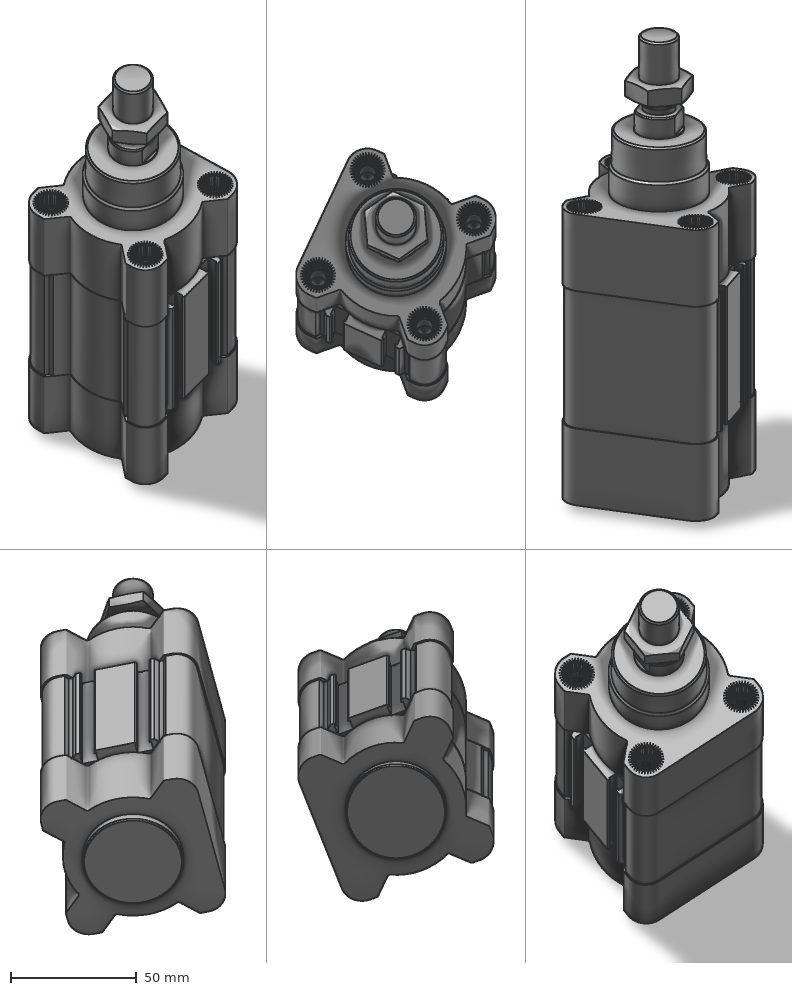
import cadquery as cq
import math

foot_height = 4.0
cap_length = 33.2
barrel_length = 59.5
rear_cap_z = foot_height
barrel_z = rear_cap_z + cap_length
front_cap_z = barrel_z + barrel_length
front_cap_top = front_cap_z + cap_length
total_height = 197.8

cap_half = 32.0
cap_body_radius = 27.9
barrel_half = 31.5
barrel_body_radius = 27.7
column_fillet = 1.0
corner_axis = 23.3
cap_web_offset = 12.0
barrel_web_offset = 12.3
web_fillet = 1.0

groove_depth = 1.8
groove_outer = 20.5
groove_floor_start = 19.4
groove_floor_end = 17.6
pad_edge = 16.0

slot_center = 11.3
slot_mouth = 5.1
slot_width = 6.5
slot_floor = 26.5
lip_depth = 1.2
lip_chamfer = 0.5

collar_diameter = 40.0
foot_chamfer = 0.5
collar_top = 141.5
nose_base_diameter = 38.0
nose_top_diameter = 37.5
nose_base_z = 142.5
nose_top = 157.0
nose_chamfer = 0.8

tooth_count = 36
tooth_tip_diameter = 13.8
tooth_root_diameter = 8.7
socket_depth = 8.0
thread_chamfer_diameter = 8.0
thread_diameter = 6.7
thread_depth = 15.8
drill_point_angle = 118.0

rod_diameter = 20.0
rod_flats = 17.0
flats_z = 157.6
shoulder_z = 166.0
shoulder_chamfer = 0.5
neck_diameter = 13.3
neck_top = 168.1
thread_start = 171.3
stud_diameter = 16.0
stud_tip_diameter = 14.5

nut_flats = 24.0
nut_height = 7.5
nut_z = 172.0
nut_chamfer_angle = 15.0


def nearest_edge(x, y, z):
    return cq.selectors.NearestToPointSelector((x, y, z))


def corner_column(half, web_offset, sign_x, sign_y, z, height):
    """One screw column: rounded outer corner, 45 degree flanks running inward."""
    edge = half - web_offset
    radius = half - corner_axis
    arc = radius * math.sqrt(0.5)
    column = (
        cq.Workplane("XY", origin=(0, 0, z))
        .moveTo(web_offset, 0)
        .lineTo(half, edge)
        .lineTo(half, corner_axis)
        .threePointArc((corner_axis + arc, corner_axis + arc), (corner_axis, half))
        .lineTo(edge, half)
        .lineTo(0, web_offset)
        .close()
        .extrude(height)
    )
    for x, y in ((half, edge), (edge, half)):
        column = column.edges(nearest_edge(x, y, z + height / 2)).fillet(column_fillet)
    if sign_x < 0:
        column = column.mirror("YZ")
    if sign_y < 0:
        column = column.mirror("XZ")
    return column


def block(x_size, y_size, x, y, z, height):
    return cq.Workplane("XY", origin=(x, y, z)).rect(x_size, y_size).extrude(height)


def section_body(half, body_radius, web_offset, z, height):
    """Round centre with four screw columns and a flat +Y side."""
    body = cq.Workplane("XY", origin=(0, 0, z)).circle(body_radius).extrude(height)
    for sign_x in (-1, 1):
        for sign_y in (-1, 1):
            body = body.union(corner_column(half, web_offset, sign_x, sign_y, z, height))
    far = (web_offset + math.sqrt(2 * body_radius**2 - web_offset**2)) / 2
    near = far - web_offset
    corners = [(sx * far, sy * near) for sx in (-1, 1) for sy in (-1, 1)]
    corners += [(sx * near, -far) for sx in (-1, 1)]
    for x, y in corners:
        body = body.edges(nearest_edge(x, y, z + height / 2)).fillet(web_fillet)
    flat_side = block(2 * corner_axis, half, 0, half / 2, z, height)
    return body.union(flat_side)


def make_cap(z):
    return section_body(cap_half, cap_body_radius, cap_web_offset, z, cap_length)


def barrel_side_pad(side):
    """Flat pad on one X side, with a sloping flank at each end."""
    floor_x = barrel_half - groove_depth
    return (
        cq.Workplane("XY", origin=(0, 0, barrel_z))
        .polyline([
            (0, -pad_edge),
            (side * floor_x, -groove_floor_end),
            (side * barrel_half, -pad_edge),
            (side * barrel_half, pad_edge),
            (side * floor_x, groove_floor_end),
            (0, pad_edge),
        ])
        .close()
        .extrude(barrel_length)
    )


def edge_groove_outline(sign_y, in_y_face):
    """Outline of a groove beside a +X screw column, in its face normal to X or to Y."""
    floor = barrel_half - groove_depth
    outline = [
        (floor, pad_edge),
        (floor, groove_floor_start),
        (barrel_half, groove_outer),
        (cap_half, groove_outer),
        (cap_half, pad_edge),
    ]
    if in_y_face:
        outline = [(y, x) for x, y in outline]
    return [(x, sign_y * y) for x, y in outline]


def cut_edge_grooves(barrel):
    outlines = [
        edge_groove_outline(-1, False),
        edge_groove_outline(1, False),
        edge_groove_outline(-1, True),
    ]
    for outline in outlines:
        for side in (-1, 1):
            groove = (
                cq.Workplane("XY", origin=(0, 0, barrel_z))
                .polyline([(side * x, y) for x, y in outline])
                .close()
                .extrude(barrel_length)
            )
            barrel = barrel.cut(groove)
    return barrel


def sensor_slot(side, center_y):
    """T-shaped slot with a chamfered mouth."""
    mouth = slot_mouth / 2
    inside = slot_width / 2
    half_outline = [
        (slot_floor, inside),
        (barrel_half - lip_depth, inside),
        (barrel_half - lip_depth, mouth),
        (barrel_half - lip_chamfer, mouth),
        (barrel_half, mouth + lip_chamfer),
    ]
    outline = half_outline + [(x, -y) for x, y in reversed(half_outline)]
    return (
        cq.Workplane("XY", origin=(0, 0, barrel_z))
        .polyline([(side * x, center_y + y) for x, y in outline])
        .close()
        .extrude(barrel_length)
    )


def make_barrel():
    barrel = section_body(barrel_half, barrel_body_radius, barrel_web_offset, barrel_z, barrel_length)
    barrel = cut_edge_grooves(barrel)
    for side in (-1, 1):
        barrel = barrel.union(barrel_side_pad(side))
        for center_y in (-slot_center, slot_center):
            barrel = barrel.cut(sensor_slot(side, center_y))
    return barrel


def make_foot():
    foot = cq.Workplane("XY").circle(collar_diameter / 2).extrude(foot_height)
    return foot.faces("<Z").edges().chamfer(foot_chamfer)


def make_nose():
    """Front collar with a bearing nose on it."""
    collar_radius = collar_diameter / 2
    base_radius = nose_base_diameter / 2
    top_radius = nose_top_diameter / 2
    return (
        cq.Workplane("XZ")
        .moveTo(0, front_cap_top)
        .lineTo(collar_radius, front_cap_top)
        .lineTo(collar_radius, collar_top)
        .lineTo(base_radius, nose_base_z)
        .lineTo(top_radius, nose_top - nose_chamfer)
        .lineTo(top_radius - nose_chamfer, nose_top)
        .lineTo(0, nose_top)
        .close()
        .revolve(360, (0, 0, 0), (0, 1, 0))
    )


def screw_socket(x, y):
    """Serrated socket with a chamfered, drilled thread hole in its floor."""
    star = []
    for i in range(2 * tooth_count):
        diameter = tooth_root_diameter if i % 2 else tooth_tip_diameter
        angle = math.pi * i / tooth_count
        star.append((x + diameter / 2 * math.cos(angle), y + diameter / 2 * math.sin(angle)))
    floor_z = front_cap_top - socket_depth
    socket = cq.Workplane("XY", origin=(0, 0, floor_z)).polyline(star).close().extrude(socket_depth)

    thread_radius = thread_diameter / 2
    chamfer_radius = thread_chamfer_diameter / 2
    point_length = thread_radius / math.tan(math.radians(drill_point_angle / 2))
    drill = (
        cq.Workplane("XZ", origin=(x, y, floor_z))
        .polyline([
            (0, 0),
            (chamfer_radius, 0),
            (thread_radius, thread_radius - chamfer_radius),
            (thread_radius, -thread_depth),
            (0, -thread_depth - point_length),
        ])
        .close()
        .revolve(360, (0, 0, 0), (0, 1, 0))
    )
    return socket.union(drill)


def make_housing():
    housing = make_foot().union(make_cap(rear_cap_z)).union(make_barrel())
    housing = housing.union(make_cap(front_cap_z)).union(make_nose())
    for x in (-corner_axis, corner_axis):
        for y in (-corner_axis, corner_axis):
            housing = housing.cut(screw_socket(x, y))
    rod_bore = cq.Workplane("XY", origin=(0, 0, front_cap_z)).circle(rod_diameter / 2).extrude(total_height)
    return housing.cut(rod_bore)


def make_rod():
    rod_radius = rod_diameter / 2
    stud_radius = stud_diameter / 2
    tip_radius = stud_tip_diameter / 2
    rod = (
        cq.Workplane("XZ")
        .polyline([
            (0, front_cap_z),
            (rod_radius, front_cap_z),
            (rod_radius, shoulder_z - shoulder_chamfer),
            (rod_radius - shoulder_chamfer, shoulder_z),
            (neck_diameter / 2, shoulder_z),
            (neck_diameter / 2, neck_top),
            (stud_radius, thread_start),
            (stud_radius, total_height - (stud_radius - tip_radius)),
            (tip_radius, total_height),
            (0, total_height),
        ])
        .close()
        .revolve(360, (0, 0, 0), (0, 1, 0))
    )
    flat_depth = (rod_diameter - rod_flats) / 2
    for side in (-1, 1):
        flat_x = side * (rod_flats + flat_depth) / 2
        rod = rod.cut(block(flat_depth, rod_diameter, flat_x, 0, flats_z, shoulder_z - flats_z))
    return rod


def make_nut():
    """Hexagon nut with flats facing X and both ends chamfered."""
    corner_diameter = nut_flats / math.cos(math.pi / 6)
    chamfer_run = (corner_diameter - nut_flats) / 2
    chamfer_rise = chamfer_run * math.tan(math.radians(nut_chamfer_angle))
    hexagon = (
        cq.Workplane("XY", origin=(0, 0, nut_z))
        .transformed(rotate=(0, 0, 90))
        .polygon(6, corner_diameter)
        .extrude(nut_height)
    )
    envelope = cq.Workplane("XY", origin=(0, 0, nut_z)).circle(corner_diameter / 2).extrude(nut_height)
    envelope = envelope.faces("<Z or >Z").edges().chamfer(chamfer_rise, chamfer_run)
    bore = cq.Workplane("XY", origin=(0, 0, nut_z)).circle(stud_diameter / 2).extrude(nut_height)
    return hexagon.intersect(envelope).cut(bore)


housing = make_housing()
rod = make_rod()
nut = make_nut()

result = cq.Compound.makeCompound([housing.val(), rod.val(), nut.val()])